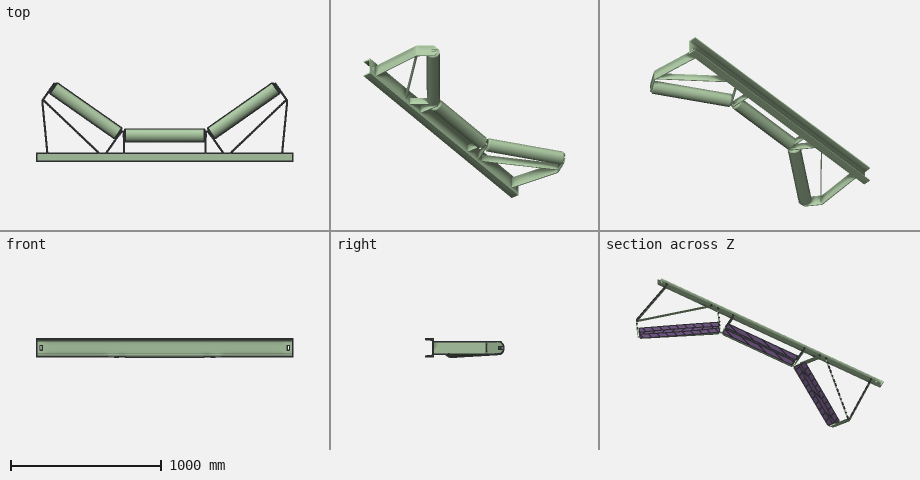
import cadquery as cq
import math


BEAM_LENGTH = 1700.0
BEAM_DEPTH = 120.0
FLANGE_WIDTH = 55.0
WEB_THICKNESS = 7.0
FLANGE_ROOT_THICKNESS = 11.0
FLANGE_TIP_THICKNESS = 7.1
ROOT_RADIUS = 8.0
TOE_RADIUS = 4.5
MOUNT_SLOT_WIDTH = 14.0
MOUNT_SLOT_HEIGHT = 30.0
MOUNT_SLOT_X = 820.0

ROLLER_LENGTH = 532.0
ROLLER_RADIUS = 45.0
ROLLER_CHAMFER = 6.0
ROLLER_OVERHANG = 3.0
MIDDLE_AXIS_Y = 117.0
SIDE_INNER_END_X = 306.0
SIDE_INNER_END_Y = 130.0
TROUGH_ANGLE = 35.0
FORWARD_TILT = 2.0
SHAFT_RADIUS = 10.0
SHAFT_FLAT_THICKNESS = 12.0
SHAFT_END_LENGTH = 10.0

STRIP_THICKNESS = 7.0
BEND_INNER_RADIUS = 8.0
BEND_OUTER_RADIUS = BEND_INNER_RADIUS + STRIP_THICKNESS
SHAFT_SLOT_WIDTH = 20.0
OUTER_STRIP_WIDTH = 82.0
OUTER_FOOT_X = 779.0
OUTER_LEG_LEAN = 5.6
OUTER_TIP_CHAMFER = 22.0
OUTER_PLATE_GAP = 5.0
OUTER_TIP_OVER_AXIS = 29.0
INNER_STRIP_WIDTH = 51.0
INNER_LEG_X = 270.0
INNER_SLOPE_FOOT_X = 390.0
BRACE_WIDTH = 51.0
BRACE_FOOT_X = 435.0
BRACE_RISE = 8.0

EMBED = WEB_THICKNESS / 2
MIDDLE_AXIS_Z = ROLLER_RADIUS - BEAM_DEPTH / 2 - ROLLER_OVERHANG
SHAFT_LENGTH = ROLLER_LENGTH + 2 * SHAFT_END_LENGTH
TROUGH = math.radians(TROUGH_ANGLE)
TILT = math.radians(FORWARD_TILT)
LEAN = math.radians(OUTER_LEG_LEAN)

ALONG = cq.Vector(-math.cos(TROUGH), math.sin(TROUGH), 0)
UP_PLATE = cq.Vector(math.sin(TROUGH), math.cos(TROUGH), 0)
AXIS_DIRECTION = ALONG * math.cos(TILT) + cq.Vector(0, 0, math.sin(TILT))

MIDDLE_END = cq.Vector(-ROLLER_LENGTH / 2, MIDDLE_AXIS_Y, MIDDLE_AXIS_Z)
SIDE_INNER_END = cq.Vector(-SIDE_INNER_END_X, SIDE_INNER_END_Y, MIDDLE_AXIS_Z)
SIDE_OUTER_END = SIDE_INNER_END + AXIS_DIRECTION * ROLLER_LENGTH


def mirrored(body):
    return body.mirror("YZ")


def meeting_point(point_a, direction_a, point_b, direction_b):
    """Where two lines in the XY plane cross."""
    offset = point_b - point_a
    reach = offset.cross(direction_b).z / direction_a.cross(direction_b).z
    return point_a + direction_a * reach


PLATE_CENTRE = (
    cq.Vector(SIDE_OUTER_END.x, SIDE_OUTER_END.y, 0)
    + ALONG * (OUTER_PLATE_GAP + STRIP_THICKNESS / 2)
)
OUTER_TIP = PLATE_CENTRE + UP_PLATE * OUTER_TIP_OVER_AXIS
OUTER_LEG = cq.Vector(-math.sin(LEAN), math.cos(LEAN), 0)
OUTER_FOOT = cq.Vector(-OUTER_FOOT_X, 0, 0)
OUTER_CORNER = meeting_point(OUTER_FOOT, OUTER_LEG, PLATE_CENTRE, UP_PLATE)


def beam():
    """A channel with tapered flanges, rounded roots and toes, and end slots."""
    half = BEAM_DEPTH / 2
    profile = (
        cq.Workplane("YZ")
        .moveTo(0, -half)
        .lineTo(-FLANGE_WIDTH, -half)
        .lineTo(-FLANGE_WIDTH, -half + FLANGE_TIP_THICKNESS)
        .lineTo(-WEB_THICKNESS, -half + FLANGE_ROOT_THICKNESS)
        .lineTo(-WEB_THICKNESS, half - FLANGE_ROOT_THICKNESS)
        .lineTo(-FLANGE_WIDTH, half - FLANGE_TIP_THICKNESS)
        .lineTo(-FLANGE_WIDTH, half)
        .lineTo(0, half)
        .close()
    )
    channel = profile.extrude(BEAM_LENGTH / 2, both=True)
    for side in (-1, 1):
        root = (0, -WEB_THICKNESS, side * (half - FLANGE_ROOT_THICKNESS))
        toe = (0, -FLANGE_WIDTH, side * (half - FLANGE_TIP_THICKNESS))
        channel = channel.edges(cq.NearestToPointSelector(root)).fillet(ROOT_RADIUS)
        channel = channel.edges(cq.NearestToPointSelector(toe)).fillet(TOE_RADIUS)
    slots = (
        cq.Workplane("XZ")
        .pushPoints([(-MOUNT_SLOT_X, 0), (MOUNT_SLOT_X, 0)])
        .rect(MOUNT_SLOT_WIDTH, MOUNT_SLOT_HEIGHT)
        .extrude(WEB_THICKNESS)
    )
    return channel.cut(slots)


def straight_strip(start, end, width):
    """A flat strip centred on the XY line from start to end and on Z = 0."""
    run = end - start
    middle = (start + end) * 0.5
    plane = cq.Plane(origin=middle.toTuple(), xDir=run.toTuple(), normal=(0, 0, 1))
    return cq.Workplane(plane).box(run.Length, STRIP_THICKNESS, width)


def bent_strip(start, corner, end, width):
    """A strip whose centre line runs start - corner - end, with a rounded bend."""
    first = (corner - start).normalized()
    second = (end - corner).normalized()
    half = STRIP_THICKNESS / 2
    first_side = cq.Vector(-first.y, first.x, 0) * half
    second_side = cq.Vector(-second.y, second.x, 0) * half
    turn = math.atan2(first.cross(second).z, first.dot(second))
    mitre = (first_side + second_side).normalized() * (half / math.cos(turn / 2))
    outline = [
        start + first_side,
        corner + mitre,
        end + second_side,
        end - second_side,
        corner - mitre,
        start - first_side,
    ]
    points = [(point.x, point.y) for point in outline]
    strip = cq.Workplane("XY").polyline(points).close().extrude(width / 2, both=True)
    inside = mitre if turn > 0 else -mitre
    inner_edge = cq.NearestToPointSelector((corner + inside).toTuple())
    outer_edge = cq.NearestToPointSelector((corner - inside).toTuple())
    strip = strip.edges("|Z").edges(outer_edge).fillet(BEND_OUTER_RADIUS)
    return strip.edges("|Z").edges(inner_edge).fillet(BEND_INNER_RADIUS)


def shaft_slot(roller_end, outward, up, height_above):
    """Slot cutter: starts under the shaft and opens upwards past the strip's edge."""
    plane = cq.Plane(origin=roller_end.toTuple(), xDir=up.toTuple(), normal=outward.toTuple())
    return (
        cq.Workplane(plane)
        .center((height_above - SHAFT_RADIUS) / 2, 0)
        .rect(height_above + SHAFT_RADIUS, SHAFT_SLOT_WIDTH)
        .extrude(OUTER_PLATE_GAP + 2 * STRIP_THICKNESS)
    )


def outer_bracket():
    """Left outer bracket: a leaning leg and a sloped end plate with cut corners."""
    foot = OUTER_FOOT - OUTER_LEG * EMBED
    bracket = bent_strip(foot, OUTER_CORNER, OUTER_TIP, OUTER_STRIP_WIDTH)
    for side in (-1, 1):
        tip_corner = OUTER_TIP + cq.Vector(0, 0, side * OUTER_STRIP_WIDTH / 2)
        tip_edge = cq.NearestToPointSelector(tip_corner.toTuple())
        bracket = bracket.edges(tip_edge).chamfer(OUTER_TIP_CHAMFER)
    return bracket.cut(shaft_slot(SIDE_OUTER_END, ALONG, UP_PLATE, 2 * OUTER_TIP_OVER_AXIS))


def inner_bracket():
    """Left inner bracket: one strip folded over to hold two neighbouring rollers."""
    vertical = cq.Vector(0, 1, 0)
    leg_foot = cq.Vector(-INNER_LEG_X, 0, 0)
    slope_foot = cq.Vector(-INNER_SLOPE_FOOT_X, 0, 0)
    apex = meeting_point(leg_foot, vertical, slope_foot, UP_PLATE)
    leg_end = leg_foot - vertical * EMBED
    slope_end = slope_foot - UP_PLATE * EMBED
    bracket = bent_strip(leg_end, apex, slope_end, INNER_STRIP_WIDTH)
    bracket = bracket.translate((0, 0, MIDDLE_AXIS_Z))
    opening = apex.y - MIDDLE_AXIS_Y
    bracket = bracket.cut(shaft_slot(MIDDLE_END, cq.Vector(-1, 0, 0), vertical, opening))
    return bracket.cut(shaft_slot(SIDE_INNER_END, -ALONG, UP_PLATE, opening))


def brace():
    """Left diagonal brace from the outer bracket's plate down to the beam."""
    foot = cq.Vector(-BRACE_FOOT_X, 0, 0)
    top = OUTER_CORNER + UP_PLATE * BRACE_RISE
    run = (foot - top).normalized()
    return straight_strip(top, foot + run * EMBED, BRACE_WIDTH)


def frame():
    """The beam with both sets of brackets and braces welded to it."""
    body = beam()
    for piece in (outer_bracket(), inner_bracket(), brace()):
        body = body.union(piece).union(mirrored(piece))
    return body


def roller(end, direction):
    """A chamfered roller with a through bore, starting at one end of its axis."""
    seam = direction.cross(UP_PLATE)
    plane = cq.Plane(origin=end.toTuple(), xDir=seam.toTuple(), normal=direction.toTuple())
    barrel = cq.Workplane(plane).circle(ROLLER_RADIUS).extrude(ROLLER_LENGTH)
    barrel = barrel.edges().chamfer(ROLLER_CHAMFER)
    return barrel.cut(cq.Workplane(plane).circle(SHAFT_RADIUS).extrude(ROLLER_LENGTH))


def shaft(end, direction):
    """A round shaft filling the bore, with two flats on each protruding end."""
    across = direction.cross(cq.Vector(0, 0, 1))
    start = end - direction * SHAFT_END_LENGTH
    plane = cq.Plane(origin=start.toTuple(), xDir=across.toTuple(), normal=direction.toTuple())
    bar = cq.Workplane(plane).circle(SHAFT_RADIUS).extrude(SHAFT_LENGTH)
    flats = cq.Workplane(plane).rect(2 * SHAFT_RADIUS, SHAFT_FLAT_THICKNESS).extrude(SHAFT_LENGTH)
    middle = (
        cq.Workplane(plane)
        .workplane(offset=SHAFT_END_LENGTH)
        .circle(SHAFT_RADIUS)
        .extrude(ROLLER_LENGTH)
    )
    return middle.union(bar.intersect(flats))


idler_frame = frame()

rollers = []
shafts = []
for make, bodies in ((roller, rollers), (shaft, shafts)):
    side_body = make(SIDE_INNER_END, AXIS_DIRECTION)
    bodies.append(make(MIDDLE_END, cq.Vector(1, 0, 0)))
    bodies.append(side_body)
    bodies.append(mirrored(side_body))

result = cq.Compound.makeCompound(
    [idler_frame.val()] + [body.val() for body in rollers + shafts]
)